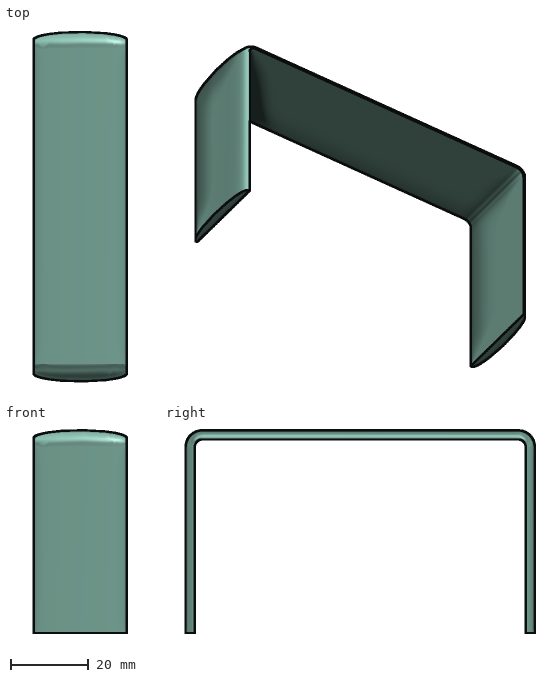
import cadquery as cq

width = 24.0
length = 90.05
height = 52.3

thickness = 2.4
side_height = 0.4
crown_rise = thickness - side_height

outer_bend_radius = 4.4
inner_bend_radius = outer_bend_radius - thickness

half_width = width / 2
half_length = length / 2


def strip_section(plane):
    """Closed section with its flat inside face on local y = 0 and its crown towards +y."""
    return (
        cq.Workplane(plane)
        .moveTo(half_width, side_height)
        .ellipseArc(half_width, crown_rise, 0, 180, startAtCurrent=True)
        .lineTo(-half_width, 0)
        .lineTo(half_width, 0)
        .close()
    )


def inside_path():
    """U-shaped line along the middle of the inside face, from one foot to the other."""
    inside_y = half_length - thickness
    inside_z = height - thickness
    return (
        cq.Workplane("YZ")
        .moveTo(-inside_y, 0)
        .lineTo(-inside_y, inside_z - inner_bend_radius)
        .radiusArc((-inside_y + inner_bend_radius, inside_z), inner_bend_radius)
        .lineTo(inside_y - inner_bend_radius, inside_z)
        .radiusArc((inside_y, inside_z - inner_bend_radius), inner_bend_radius)
        .lineTo(inside_y, 0)
    )


foot_plane = cq.Plane(
    origin=(0, -half_length + thickness, 0),
    xDir=(-1, 0, 0),
    normal=(0, 0, 1),
)

result = strip_section(foot_plane).sweep(inside_path())